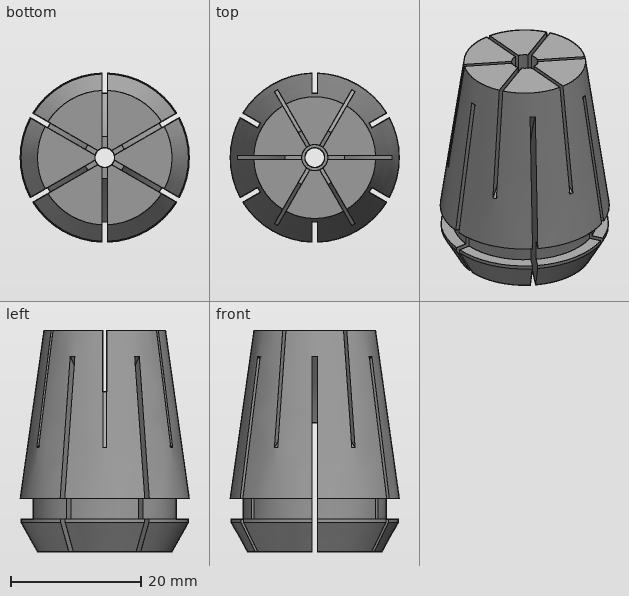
import cadquery as cq
import math

height = 34.0
nose_radius = 10.35
rim_radius = 12.85
rim_bottom = 4.5
rim_top = 5.03
groove_radius = 11.0
cone_bottom = 8.15
cone_large_radius = 13.005
cone_small_radius = 9.35

bore_radius = 1.5
relief_radius = 2.0

slots_per_end = 6
slot_spacing = 360.0 / slots_per_end
back_slot_width = 0.58
back_slot_crest_radius = 4.6
back_slot_crest_height = 24.6
back_slot_floor_tilt = 10.0
back_slot_saw_radius = 21.08
back_slot_outer_height = 16.05
nose_slot_width = 0.8
nose_slot_crest_radius = 3.23
nose_slot_crest_height = 19.82
nose_slot_saw_radius = 28.9
nose_slot_outer_height = 30.02
clearance = 1.7

floor_slope = math.tan(math.radians(back_slot_floor_tilt))
back_slot_centre_height = back_slot_crest_height - back_slot_crest_radius * floor_slope
relief_bottom = back_slot_centre_height


def cone_radius(z):
    """Radius of the tapered outside at height z."""
    rise = (z - cone_bottom) / (height - cone_bottom)
    return cone_large_radius + rise * (cone_small_radius - cone_large_radius)


def revolved_body():
    return (
        cq.Workplane("XZ")
        .moveTo(0, 0)
        .lineTo(nose_radius, 0)
        .lineTo(rim_radius, rim_bottom)
        .lineTo(rim_radius, rim_top)
        .lineTo(groove_radius, rim_top)
        .lineTo(groove_radius, cone_bottom)
        .lineTo(cone_large_radius, cone_bottom)
        .lineTo(cone_small_radius, height)
        .lineTo(0, height)
        .close()
        .revolve(360, (0, 0, 0), (0, 1, 0))
    )


def stepped_bore():
    through_hole = cq.Workplane("XY").circle(bore_radius).extrude(height)
    relief = (
        cq.Workplane("XY")
        .workplane(offset=relief_bottom)
        .circle(relief_radius)
        .extrude(height - relief_bottom)
    )
    return through_hole.union(relief)


def slot_cutter(width, centre_height, crest_radius, crest_height, outer_height, saw_radius, open_height):
    """Radial saw slot along +X, ending in an arc between its inner crest and the tapered outside."""
    end_radius = cone_radius(outer_height)
    outside = cone_large_radius + clearance
    run = end_radius - crest_radius
    rise = outer_height - crest_height
    chord = math.hypot(run, rise)
    bulge = saw_radius - math.sqrt(saw_radius**2 - (chord / 2) ** 2)
    arc_middle = (
        (crest_radius + end_radius) / 2 - bulge * abs(rise) / chord,
        (crest_height + outer_height) / 2 + math.copysign(bulge * run / chord, rise),
    )
    return (
        cq.Workplane("XZ")
        .moveTo(0, open_height)
        .lineTo(0, centre_height)
        .lineTo(crest_radius, crest_height)
        .threePointArc(arc_middle, (end_radius, outer_height))
        .lineTo(outside, outer_height)
        .lineTo(outside, open_height)
        .close()
        .extrude(width / 2, both=True)
    )


def slot_ring(cutter, first_angle):
    ring = cq.Workplane("XY")
    for index in range(slots_per_end):
        angle = first_angle + index * slot_spacing
        ring = ring.add(cutter.rotate((0, 0, 0), (0, 0, 1), angle))
    return ring.combine()


back_slot = slot_cutter(
    back_slot_width,
    back_slot_centre_height,
    back_slot_crest_radius,
    back_slot_crest_height,
    back_slot_outer_height,
    back_slot_saw_radius,
    height + clearance,
)
nose_slot = slot_cutter(
    nose_slot_width,
    nose_slot_crest_height,
    nose_slot_crest_radius,
    nose_slot_crest_height,
    nose_slot_outer_height,
    nose_slot_saw_radius,
    -clearance,
)

result = (
    revolved_body()
    .cut(stepped_bore())
    .cut(slot_ring(back_slot, 0))
    .cut(slot_ring(nose_slot, slot_spacing / 2))
)